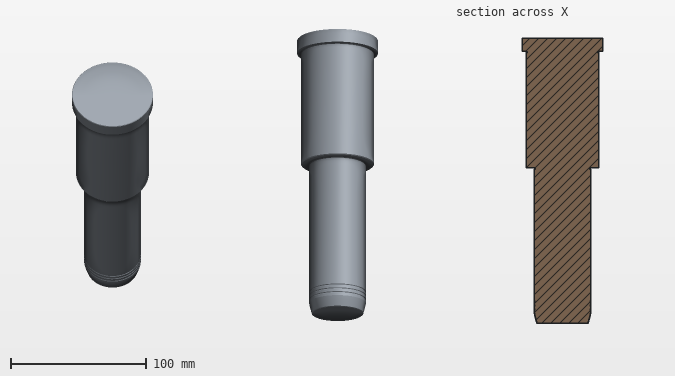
import cadquery as cq

total_height = 211.0
head_diameter = 60.0
head_height = 10.0
head_chamfer = 0.5
body_diameter = 54.0
body_bottom_z = 115.0
body_chamfer = 0.6
relief_width = 1.0
relief_depth = 0.6
shank_diameter = 42.0
nose_height = 8.0
nose_tip_diameter = 38.0
nose_tip_chamfer = 0.5
nose_bulge = 0.1
groove_count = 3
groove_width = 1.0
groove_depth = 0.5
groove_pitch = 3.0
lowest_groove_z = 10.5

head_bottom_z = total_height - head_height
shank_radius = shank_diameter / 2
nose_tip_radius = nose_tip_diameter / 2


def cylinder(diameter, bottom_z, top_z):
    """Cylinder on the Z axis between two heights."""
    return cq.Workplane("XY").workplane(offset=bottom_z).circle(diameter / 2).extrude(top_z - bottom_z)


def v_groove_cutter(diameter, depth, center_z, width):
    """Triangular ring that cuts a V groove into a cylinder of the given diameter."""
    radius = diameter / 2
    return (
        cq.Workplane("XZ")
        .moveTo(radius, center_z - width / 2)
        .lineTo(radius - depth, center_z)
        .lineTo(radius, center_z + width / 2)
        .close()
        .revolve(360, (0, 0, 0), (0, 1, 0))
    )


nose_middle = ((shank_radius + nose_tip_radius) / 2 + nose_bulge, nose_height / 2)
nose = (
    cq.Workplane("XZ")
    .lineTo(nose_tip_radius, 0)
    .threePointArc(nose_middle, (shank_radius, nose_height))
    .lineTo(0, nose_height)
    .close()
    .revolve(360, (0, 0, 0), (0, 1, 0))
    .faces("<Z")
    .edges()
    .chamfer(nose_tip_chamfer)
)

shank = cylinder(shank_diameter, nose_height, body_bottom_z)
body = cylinder(body_diameter, body_bottom_z, head_bottom_z).faces("<Z").edges().chamfer(body_chamfer)
head = cylinder(head_diameter, head_bottom_z, total_height).faces(">Z").edges().chamfer(head_chamfer)

head_relief_z = head_bottom_z - relief_width / 2
body = body.cut(v_groove_cutter(body_diameter, relief_depth, head_relief_z, relief_width))
body_relief_z = body_bottom_z - relief_width / 2
shank = shank.cut(v_groove_cutter(shank_diameter, relief_depth, body_relief_z, relief_width))

for index in range(groove_count):
    groove_z = lowest_groove_z + index * groove_pitch
    shank = shank.cut(v_groove_cutter(shank_diameter, groove_depth, groove_z, groove_width))

result = nose.union(shank).union(body).union(head)